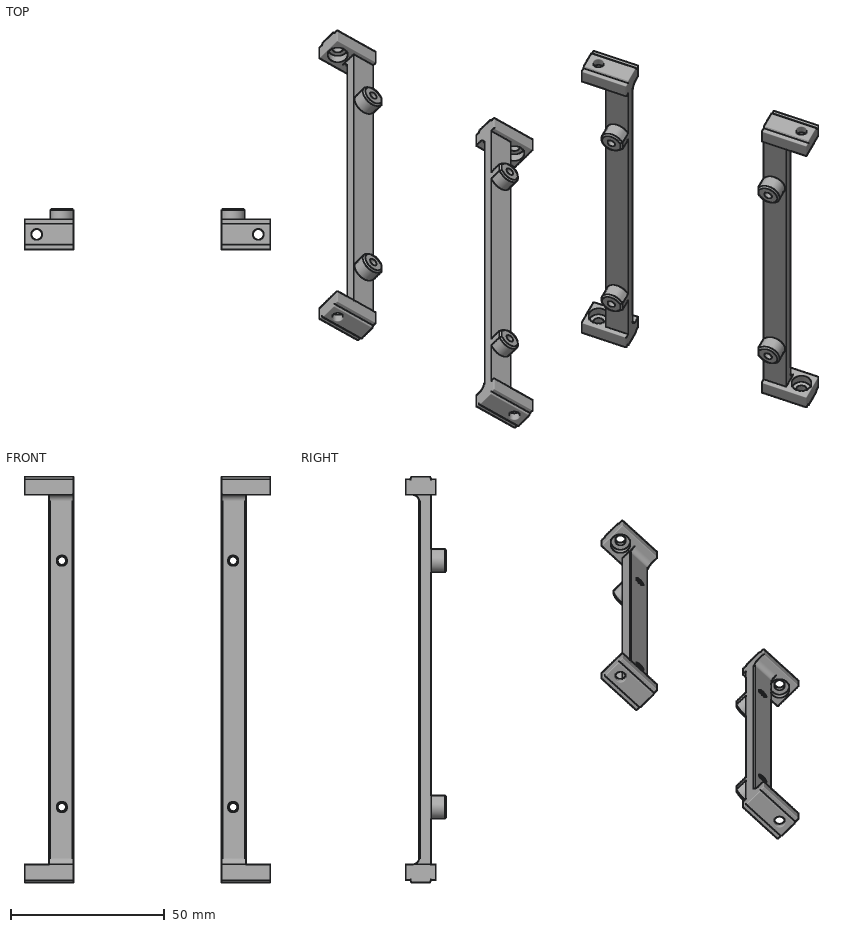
import cadquery as cq
import math

HEIGHT = 132.0
SPAN = 80.0

BLOCK_LENGTH = 16.0
BLOCK_DEPTH = 9.9
BLOCK_HEIGHT = 6.0
PAD_HEIGHT = 0.8
PAD_BASE_WIDTH = 6.9
PAD_TOP_WIDTH = 6.1
EDGE_FILLET = 0.3

SCREW_DIAMETER = 3.4
SCREW_HEAD_DIAMETER = 6.5
SCREW_HEAD_DEPTH = 3.0
SCREW_INSET = 4.0

BAR_WIDTH = 8.0
BAR_FRONT = 4.4
BAR_THICKNESS = 4.0
BAR_CHAMFER = 0.4
ROOT_FILLET = 2.0

OVERALL_DEPTH = 13.3
BOSS_DIAMETER = 7.7
BOSS_END_DIAMETER = 6.5
BOSS_INSET = 3.8
BOSS_HOLE_DIAMETER = 2.6
LOWER_BOSS_Z = 24.5
BOSS_SPACING = 80.1

TOLERANCE = 0.1

outer_x = -SPAN / 2
inner_x = outer_x + BLOCK_LENGTH
bar_x = inner_x - BAR_WIDTH / 2
boss_x = inner_x - BOSS_INSET
bar_back = BAR_FRONT + BAR_THICKNESS
block_mid_y = BLOCK_DEPTH / 2


def upright_cylinder(diameter, x, y, z, height):
    """Cylinder standing on height z."""
    return cq.Workplane("XY", origin=(x, y, z)).circle(diameter / 2).extrude(height)


def lower_block():
    """Block with a raised, sloping-sided pad underneath and a screw hole."""
    profile = [
        (0, PAD_HEIGHT),
        (block_mid_y - PAD_BASE_WIDTH / 2, PAD_HEIGHT),
        (block_mid_y - PAD_TOP_WIDTH / 2, 0),
        (block_mid_y + PAD_TOP_WIDTH / 2, 0),
        (block_mid_y + PAD_BASE_WIDTH / 2, PAD_HEIGHT),
        (BLOCK_DEPTH, PAD_HEIGHT),
        (BLOCK_DEPTH, BLOCK_HEIGHT),
        (0, BLOCK_HEIGHT),
    ]
    block = cq.Workplane("YZ", origin=(outer_x, 0, 0)).polyline(profile).close().extrude(BLOCK_LENGTH)
    pad_roots = cq.selectors.BoxSelector(
        (outer_x, block_mid_y - PAD_BASE_WIDTH / 2 - TOLERANCE, PAD_HEIGHT - TOLERANCE),
        (inner_x, block_mid_y + PAD_BASE_WIDTH / 2 + TOLERANCE, PAD_HEIGHT + TOLERANCE),
    )
    beside_bar = cq.selectors.StringSyntaxSelector(">X and >Z")
    all_edges = cq.selectors.Selector()
    block = block.edges(all_edges - pad_roots - beside_bar).fillet(EDGE_FILLET)
    screw_x = outer_x + SCREW_INSET
    block = block.cut(upright_cylinder(SCREW_DIAMETER, screw_x, block_mid_y, 0, BLOCK_HEIGHT))
    block = block.faces("<Z").edges("%CIRCLE").fillet(EDGE_FILLET)
    head_z = BLOCK_HEIGHT - SCREW_HEAD_DEPTH
    return block.cut(upright_cylinder(SCREW_HEAD_DIAMETER, screw_x, block_mid_y, head_z, SCREW_HEAD_DEPTH))


def upper_block():
    """Lower block turned upside down at the top of the bracket."""
    return lower_block().mirror("XY", (0, 0, HEIGHT / 2))


def bar():
    """Upright between the blocks, with its front edges chamfered."""
    upright = cq.Workplane("XY").box(
        BAR_WIDTH, BAR_THICKNESS, HEIGHT - 2 * BLOCK_HEIGHT, centered=(True, False, False)
    )
    upright = upright.edges("|Z and <Y").chamfer(BAR_CHAMFER)
    return upright.translate((bar_x, BAR_FRONT, BLOCK_HEIGHT))


def lower_root():
    """Concave fillet strip between the front of the bar and the lower block."""
    return (
        cq.Workplane("YZ", origin=(inner_x - BAR_WIDTH, 0, 0))
        .moveTo(BAR_FRONT - ROOT_FILLET, BLOCK_HEIGHT)
        .radiusArc((BAR_FRONT, BLOCK_HEIGHT + ROOT_FILLET), -ROOT_FILLET)
        .lineTo(BAR_FRONT + BAR_CHAMFER, BLOCK_HEIGHT + ROOT_FILLET)
        .lineTo(BAR_FRONT + BAR_CHAMFER, BLOCK_HEIGHT)
        .close()
        .extrude(BAR_WIDTH)
    )


def add_boss(body, z):
    """Teardrop boss on the back of the bar, cut flush with the inner face and drilled to the front."""
    radius = BOSS_DIAMETER / 2
    tangent = radius * math.sqrt(0.5)
    flat_half_height = 2 * tangent - BOSS_INSET
    boss = (
        cq.Workplane("XZ", origin=(boss_x, bar_back, z))
        .moveTo(tangent, tangent)
        .threePointArc((-radius, 0), (tangent, -tangent))
        .lineTo(BOSS_INSET, -flat_half_height)
        .lineTo(BOSS_INSET, flat_half_height)
        .close()
        .extrude(bar_back - OVERALL_DEPTH)
        .faces(">Y")
        .chamfer((BOSS_DIAMETER - BOSS_END_DIAMETER) / 2)
    )
    hole = (
        cq.Workplane("XZ", origin=(boss_x, 0, z)).circle(BOSS_HOLE_DIAMETER / 2).extrude(-OVERALL_DEPTH)
    )
    body = body.union(boss).cut(hole)
    front_rim = cq.selectors.BoxSelector(
        (boss_x - BOSS_HOLE_DIAMETER, BAR_FRONT - TOLERANCE, z - BOSS_HOLE_DIAMETER),
        (boss_x + BOSS_HOLE_DIAMETER, BAR_FRONT + TOLERANCE, z + BOSS_HOLE_DIAMETER),
    )
    return body.edges(front_rim).chamfer(BAR_CHAMFER)


def bracket():
    """One complete bracket on the -X side."""
    root = lower_root()
    body = bar().union(lower_block()).union(upper_block())
    body = body.union(root).union(root.mirror("XY", (0, 0, HEIGHT / 2)))
    for z in (LOWER_BOSS_Z, LOWER_BOSS_Z + BOSS_SPACING):
        body = add_boss(body, z)
    return body


left_bracket = bracket()
right_bracket = left_bracket.mirror("YZ")

result = cq.Compound.makeCompound([left_bracket.val(), right_bracket.val()])